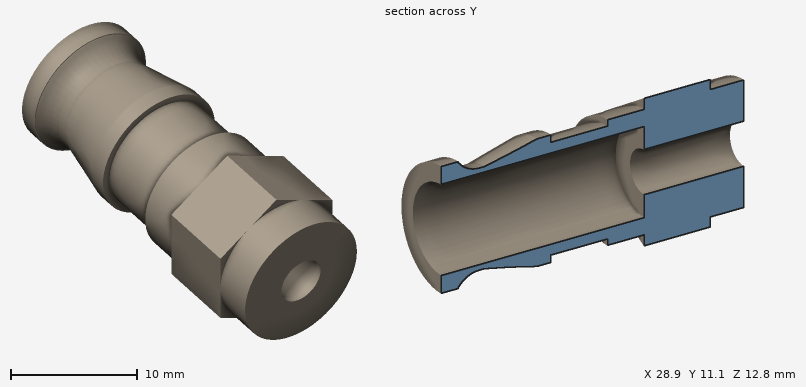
import cadquery as cq
import math

length = 28.95
flange_end = 1.65
arc_start = 1.75
throat_start = 3.62
throat_end = 4.15
cone_end = 9.18
band_end = 10.55
neck_end = 15.9
hex_start = 19.4
hex_end = 25.77

across_flats = 11.12
body_radius = across_flats / 2
flange_radius = 5.53
lead_in_radius = 5.45
arc_start_radius = 5.35
throat_radius = 4.45
neck_radius = 4.92
collar_radius = 5.47

socket_radius = 3.95
socket_depth = hex_start
through_radius = 1.95


def throat_arc_midpoint():
    """Point halfway along the concave arc that meets the throat tangentially."""
    run = throat_start - arc_start
    rise = arc_start_radius - throat_radius
    radius = (run**2 + rise**2) / (2 * rise)
    half_angle = math.asin(run / radius) / 2
    x = throat_start - radius * math.sin(half_angle)
    r = throat_radius + radius * (1 - math.cos(half_angle))
    return x, r


def turned_body():
    """Outer profile revolved about the X axis."""
    return (
        cq.Workplane("XY")
        .lineTo(0, flange_radius)
        .lineTo(flange_end, flange_radius)
        .lineTo(flange_end, lead_in_radius)
        .lineTo(arc_start, arc_start_radius)
        .threePointArc(throat_arc_midpoint(), (throat_start, throat_radius))
        .lineTo(throat_end, throat_radius)
        .lineTo(cone_end, body_radius)
        .lineTo(band_end, body_radius)
        .lineTo(band_end, neck_radius)
        .lineTo(neck_end, neck_radius)
        .lineTo(neck_end, collar_radius)
        .lineTo(hex_start, collar_radius)
        .lineTo(hex_start, body_radius)
        .lineTo(length, body_radius)
        .lineTo(length, 0)
        .close()
        .revolve(360, (0, 0, 0), (1, 0, 0))
    )


def hex_nut():
    """Hexagon with flats facing +Y and -Y and corners at top and bottom."""
    across_corners = across_flats / math.cos(math.pi / 6)
    return (
        cq.Workplane("YZ", origin=(hex_start, 0, 0))
        .transformed(rotate=(0, 0, 90))
        .polygon(6, across_corners)
        .extrude(hex_end - hex_start)
    )


def bore(radius, depth):
    """Round cutter along X, starting at the socket end."""
    return cq.Workplane("YZ").circle(radius).extrude(depth)


result = (
    turned_body()
    .union(hex_nut())
    .cut(bore(socket_radius, socket_depth))
    .cut(bore(through_radius, length))
)